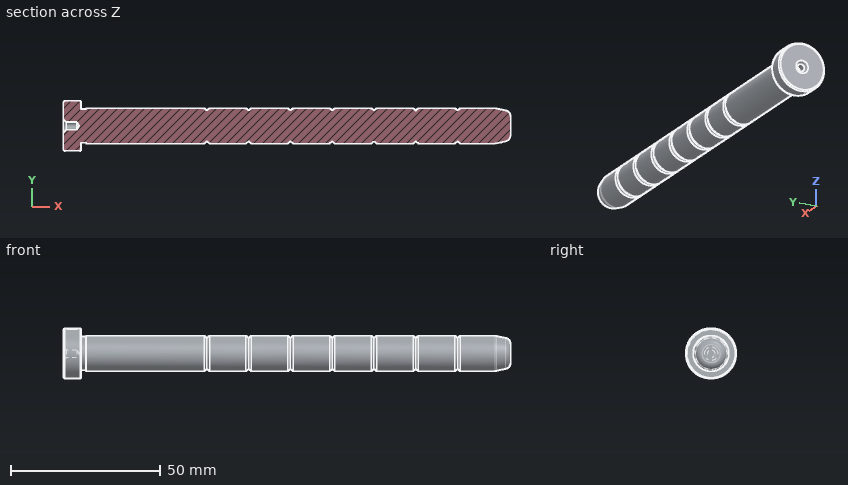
import cadquery as cq
import math

total_length = 150.0
head_radius = 8.48
head_length = 6.0
face_chamfer = 0.5
shoulder_chamfer = 0.3
shaft_radius = 6.0

relief_radius = 5.7
relief_end = 7.5

groove_count = 7
first_groove_x = 48.2
last_groove_x = 132.2
groove_depth = 0.8
groove_half_width = 0.9
groove_pitch = (last_groove_x - first_groove_x) / (groove_count - 1)

nose_start = 145.0
nose_step_length = 0.5
nose_step_depth = 0.08
nose_taper_length = 3.2
nose_taper_angle = math.radians(12)
nose_round_length = total_length - nose_start - nose_taper_length

hole_radius = 1.28
hole_sink_radius = 2.2
hole_depth = 4.5
drill_point_angle = math.radians(118)

ring_x = head_length / 2
ring_outer_radius = 2.1
ring_inner_radius = 1.6
ring_depth = 0.2


def make_head():
    return (
        cq.Workplane("YZ")
        .circle(head_radius)
        .extrude(head_length)
        .faces("<X")
        .edges()
        .chamfer(face_chamfer)
        .faces(">X")
        .edges()
        .chamfer(shoulder_chamfer)
    )


def make_shaft():
    """Revolve the half profile of the relief, the shaft and the nose."""
    head_overlap_x = head_length / 2
    relief_chamfer = shaft_radius - relief_radius
    nose_radius = shaft_radius - nose_step_depth
    taper_end_x = nose_start + nose_taper_length
    taper_end_radius = nose_radius - nose_taper_length * math.tan(nose_taper_angle)

    round_radius = nose_round_length / (1 - math.sin(nose_taper_angle))
    round_center_x = total_length - round_radius
    round_center_radius = taper_end_radius - round_radius * math.cos(nose_taper_angle)
    mid_angle = (math.pi / 2 - nose_taper_angle) / 2
    round_mid = (
        round_center_x + round_radius * math.cos(mid_angle),
        round_center_radius + round_radius * math.sin(mid_angle),
    )
    return (
        cq.Workplane("XY")
        .moveTo(head_overlap_x, 0)
        .lineTo(head_overlap_x, relief_radius)
        .lineTo(relief_end, relief_radius)
        .lineTo(relief_end + relief_chamfer, shaft_radius)
        .lineTo(nose_start - nose_step_length, shaft_radius)
        .lineTo(nose_start, nose_radius)
        .lineTo(taper_end_x, taper_end_radius)
        .threePointArc(round_mid, (total_length, round_center_radius))
        .lineTo(total_length, 0)
        .close()
        .revolve(360, (0, 0, 0), (1, 0, 0))
    )


def make_groove(center_x):
    """V-shaped ring that cuts one groove into the shaft."""
    return (
        cq.Workplane("XY")
        .moveTo(center_x, shaft_radius - groove_depth)
        .lineTo(center_x + groove_half_width, shaft_radius)
        .lineTo(center_x + groove_half_width, head_radius)
        .lineTo(center_x - groove_half_width, head_radius)
        .lineTo(center_x - groove_half_width, shaft_radius)
        .close()
        .revolve(360, (0, 0, 0), (1, 0, 0))
    )


def make_axial_hole():
    """Revolve the half profile of the countersink, the bore and the drill point."""
    sink_depth = hole_sink_radius - hole_radius
    point_depth = hole_radius / math.tan(drill_point_angle / 2)
    return (
        cq.Workplane("XY")
        .lineTo(0, hole_sink_radius)
        .lineTo(sink_depth, hole_radius)
        .lineTo(hole_depth, hole_radius)
        .lineTo(hole_depth + point_depth, 0)
        .close()
        .revolve(360, (0, 0, 0), (1, 0, 0))
    )


def make_rim_ring():
    """Ring-shaped cutter whose floor follows the curve of the rim."""
    ring = (
        cq.Workplane("XY")
        .center(ring_x, 0)
        .circle(ring_outer_radius)
        .circle(ring_inner_radius)
        .extrude(head_radius)
    )
    core = cq.Workplane("YZ").circle(head_radius - ring_depth).extrude(head_length)
    return ring.cut(core)


result = make_head().union(make_shaft())

for index in range(groove_count):
    result = result.cut(make_groove(first_groove_x + index * groove_pitch))

result = result.cut(make_axial_hole()).cut(make_rim_ring())